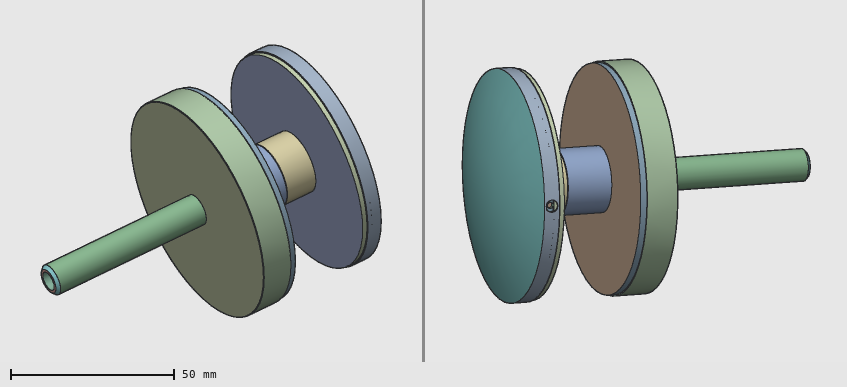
import cadquery as cq
import math


rim_radius = 36.0
neck_radius = 10.3
edge_chamfer = 0.2
joint_chamfer = 0.1

flange_thickness = 10.1
stud_length = 55.0
stud_radius = 5.0
stud_tip_chamfer = 1.0
stud_bore_radius = 3.0
stud_bore_depth = 15.8
drill_point_angle = 118.0

gasket_radius = 35.6
gasket_thickness = 2.0

gasket_top = flange_thickness + gasket_thickness
neck_joint = 26.4
base_bottom = 37.0
base_thickness = 3.4
base_exposed_height = 1.6
cap_bottom = base_bottom + base_exposed_height
base_top = base_bottom + base_thickness

base_radius = 35.6
cap_rim_height = 5.0
dome_height = 6.4
dome_bottom = cap_bottom + cap_rim_height
dome_top = dome_bottom + dome_height

screw_radius = 1.9
screw_axis_y = 41.2
screw_length = 5.2
screw_recess = 1.5
screw_outer_end = rim_radius - screw_recess
screw_inner_end = screw_outer_end - screw_length
socket_radius = 0.9
socket_depth = 1.3


def disc(radius, bottom, top):
    """Cylinder about the Y axis between two Y positions."""
    return cq.Workplane("XZ", origin=(0, bottom, 0)).circle(radius).extrude(bottom - top)


def radial_pin(radius, inner_end, outer_end):
    """Cylinder along -X, between two distances from the Y axis."""
    start = (-inner_end, screw_axis_y, 0)
    return cq.Workplane("YZ", origin=start).circle(radius).extrude(inner_end - outer_end)


def make_stud_bore():
    """Blind drilled hole in the stud end, with a conical bottom."""
    point_depth = stud_bore_radius / math.tan(math.radians(drill_point_angle / 2))
    bore_bottom = stud_bore_depth - stud_length
    return (
        cq.Workplane("XY")
        .moveTo(0, -stud_length)
        .lineTo(stud_bore_radius, -stud_length)
        .lineTo(stud_bore_radius, bore_bottom)
        .lineTo(0, bore_bottom + point_depth)
        .close()
        .revolve(360, (0, 0, 0), (0, 1, 0))
    )


def make_flange():
    """Flange plate, drilled stud and the lower half of the neck."""
    plate = disc(rim_radius, 0, flange_thickness).faces("<Y").chamfer(edge_chamfer)
    neck = disc(neck_radius, flange_thickness, neck_joint).faces(">Y").chamfer(joint_chamfer)
    stud = disc(stud_radius, -stud_length, 0).faces("<Y").chamfer(stud_tip_chamfer)
    return plate.union(neck).union(stud).cut(make_stud_bore())


def make_gasket():
    """Flat ring around the neck, lying on the flange."""
    hole = disc(neck_radius, flange_thickness, gasket_top)
    return disc(gasket_radius, flange_thickness, gasket_top).cut(hole)


def make_base():
    """Base plate of the cap with the upper half of the neck."""
    plate = disc(base_radius, base_bottom, base_top)
    neck = disc(neck_radius, neck_joint, base_bottom).faces("<Y").chamfer(joint_chamfer)
    return plate.union(neck)


def make_cap():
    """Domed cap, recessed for the base plate and drilled for the set screw."""
    sphere_radius = (rim_radius**2 + dome_height**2) / (2 * dome_height)
    half_angle = math.asin(rim_radius / sphere_radius) / 2
    arc_middle = (
        sphere_radius * math.sin(half_angle),
        dome_top - sphere_radius * (1 - math.cos(half_angle)),
    )
    body = (
        cq.Workplane("XY")
        .moveTo(0, cap_bottom)
        .lineTo(rim_radius, cap_bottom)
        .lineTo(rim_radius, dome_bottom)
        .threePointArc(arc_middle, (0, dome_top))
        .close()
        .revolve(360, (0, 0, 0), (0, 1, 0))
        .faces("<Y")
        .chamfer(joint_chamfer)
    )
    recess = disc(base_radius, cap_bottom, base_top)
    screw_hole = radial_pin(screw_radius, screw_inner_end, rim_radius + screw_recess)
    return body.cut(recess).cut(screw_hole)


def make_set_screw():
    """Set screw with a round socket, flattened where it lies against the base plate."""
    socket = radial_pin(socket_radius, screw_outer_end - socket_depth, screw_outer_end)
    plate = disc(base_radius, base_bottom, base_top)
    return radial_pin(screw_radius, screw_inner_end, screw_outer_end).cut(socket).cut(plate)


flange = make_flange()
gasket = make_gasket()
base = make_base()
cap = make_cap()
set_screw = make_set_screw()

result = cq.Compound.makeCompound([flange.val(), gasket.val(), base.val(), cap.val(), set_screw.val()])